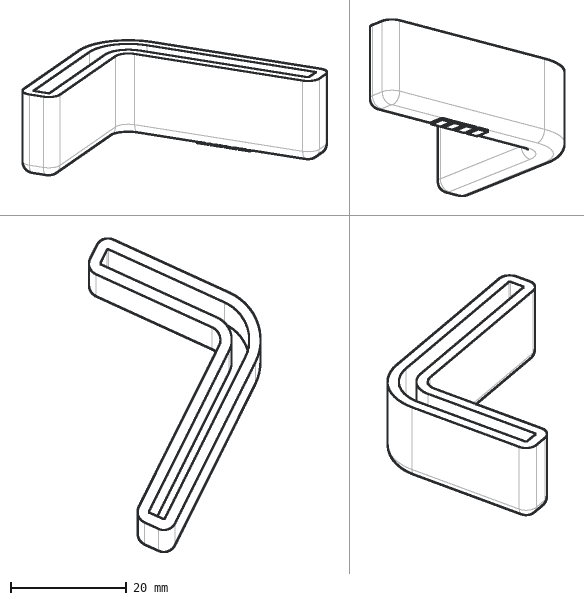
import cadquery as cq


LENGTH_X = 44.0
LENGTH_Y = 34.0
TOTAL_HEIGHT = 15.35
ARM_WIDTH = 7.0
WALL = 2.0
INNER_BEND_RADIUS = 2.5
SLOT_CORNER_RADIUS = 0.18
BOTTOM_FILLET = 2.0

PAD_COUNT = 4
PAD_LENGTH = 2.15
PAD_HEIGHT = 0.35
PAD_GAP = 0.55
PAD_START = 20.55

SLEEVE_HEIGHT = TOTAL_HEIGHT - PAD_HEIGHT
SLOT_WIDTH = ARM_WIDTH - 2 * WALL
SLOT_BEND_RADIUS = INNER_BEND_RADIUS + WALL
OUTER_CORNER_RADIUS = SLOT_CORNER_RADIUS + WALL
PAD_WIDTH = SLOT_WIDTH
PAD_PITCH = PAD_LENGTH + PAD_GAP


def round_upright_edge(body, x, y, radius):
    """Round the upright edge of `body` that stands at (x, y)."""
    middle_z = body.val().Center().z
    nearest = cq.selectors.NearestToPointSelector((x, y, middle_z))
    return body.edges("|Z").edges(nearest).fillet(radius)


def angle_prism(inset, bend_radius, corner_radius, bottom):
    """L-shaped prism up to the sleeve top, its sides set in from the sleeve's outer faces."""
    near = inset
    far = ARM_WIDTH - inset
    end_x = LENGTH_X - inset
    end_y = LENGTH_Y - inset
    prism = (
        cq.Workplane("XY", origin=(0, 0, bottom))
        .moveTo(near, -near)
        .lineTo(end_x, -near)
        .lineTo(end_x, -far)
        .lineTo(far, -far)
        .lineTo(far, -end_y)
        .lineTo(near, -end_y)
        .close()
        .extrude(SLEEVE_HEIGHT - bottom)
    )
    for x, y in [(end_x, -near), (end_x, -far), (far, -end_y), (near, -end_y)]:
        prism = round_upright_edge(prism, x, y, corner_radius)
    prism = round_upright_edge(prism, far, -far, bend_radius)
    return round_upright_edge(prism, near, -near, bend_radius + far - near)


def make_sleeve():
    """L-shaped sleeve with a slot open at the top and a rounded bottom edge."""
    outside = angle_prism(0, INNER_BEND_RADIUS, OUTER_CORNER_RADIUS, 0)
    outside = outside.faces("<Z").edges().fillet(BOTTOM_FILLET)
    slot = angle_prism(WALL, SLOT_BEND_RADIUS, SLOT_CORNER_RADIUS, WALL)
    return outside.cut(slot)


def make_pad(index):
    """Thin rectangular pad under the X arm, on the arm's centre line."""
    center_x = PAD_START + PAD_LENGTH / 2 + index * PAD_PITCH
    return (
        cq.Workplane("XY", origin=(center_x, -ARM_WIDTH / 2, -PAD_HEIGHT))
        .rect(PAD_LENGTH, PAD_WIDTH)
        .extrude(PAD_HEIGHT)
    )


sleeve = make_sleeve()
pads = [make_pad(index) for index in range(PAD_COUNT)]

result = cq.Compound.makeCompound([sleeve.solids().val(), *[pad.val() for pad in pads]])